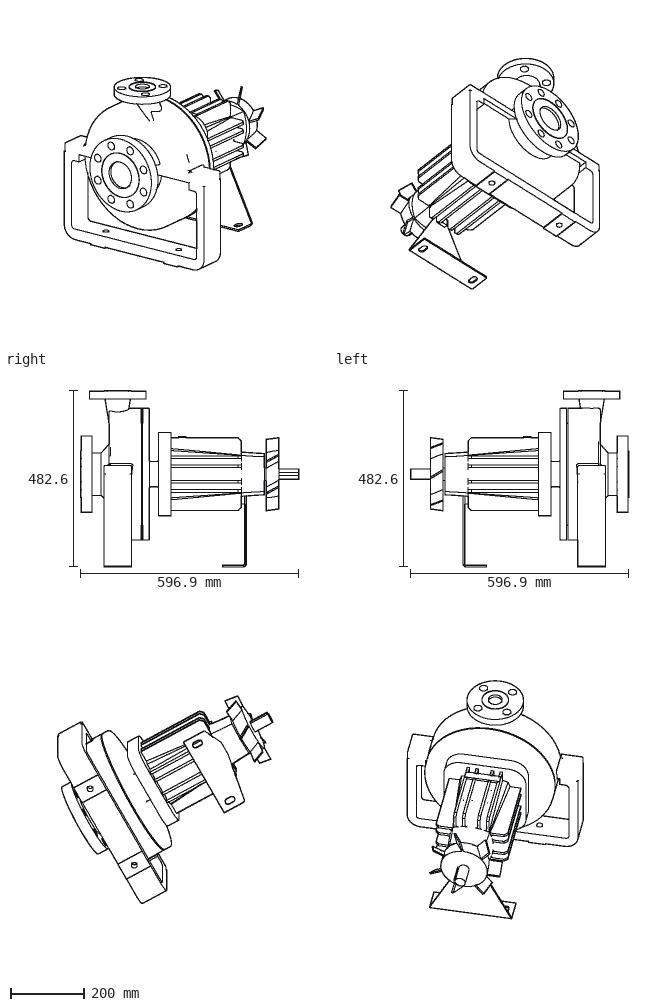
import cadquery as cq
import math

OVERLAP = 1.0

SUCTION_FACE_Y = -101.6
SHAFT_END_Y = 495.3
DISCHARGE_FACE_Z = 228.6
FOOT_Z = -254.0

CASING_DIA = 361.0
CASING_FRONT_Y = -23.8
CASING_BACK_Y = 65.0
CASING_EDGE_RADIUS = 4.5
COVER_FRONT_Y = 68.3
COVER_BACK_Y = 86.7
GASKET_DIA = 280.0

BOLT_HOLE_DIA = 22.23
RAISED_FACE_HEIGHT = 1.6
SUCTION_FLANGE_DIA = 209.55
SUCTION_FLANGE_BACK_Y = -69.8
SUCTION_RAISED_DIA = 127.0
SUCTION_BORE_DIA = 76.2
SUCTION_BOLT_CIRCLE = 168.3
SUCTION_BOLTS = 8
SUCTION_NECK_DIA = 117.0
SUCTION_CONE_FRONT_Y = -45.2
SUCTION_CONE_DIA = 165.0
BORE_DEPTH = 8.0

DISCHARGE_FLANGE_DIA = 155.0
DISCHARGE_FLANGE_BOTTOM_Z = 205.5
DISCHARGE_RAISED_DIA = 73.03
DISCHARGE_BORE_DIA = 38.1
DISCHARGE_BOLT_CIRCLE = 114.3
DISCHARGE_BOLTS = 4
NECK_TOP_DIA = 70.0
NECK_TOP_X = 4.3
NECK_END_DIA = 47.0
NECK_END_X = 56.5
NECK_END_Z = 135.6

FRAME_WIDTH = 476.25
FRAME_DEPTH = 76.2
FRAME_TOP_Z = 24.3
FRAME_BOTTOM_Z = -250.8
LEG_THICKNESS = 25.4
FRAME_FLOOR_Z = -219.7
FRAME_INNER_RADIUS = 9.5
FRAME_OUTER_RADIUS = 38.1
LUG_INNER_X = 187.0
LUG_BOTTOM_Z = -20.8
ARM_EDGE_RADIUS = 4.5
ARM_WELD_RADIUS = 5.0
FOOT_HOLE_X = 123.8
FOOT_HOLE_DIA = 16.0
FOOT_PAD_WIDTH = 48.4

ADAPTER_SIZE = 70.0
ADAPTER_EDGE_RADIUS = 6.0
ADAPTER_SEAM_RADIUS = 3.0
HOUSING_FLANGE_SIZE = 228.6
HOUSING_FLANGE_CORNER_RADIUS = 48.3
HOUSING_FLANGE_FRONT_Y = 111.0
HOUSING_FLANGE_BACK_Y = 146.0
HOUSING_END_Y = 401.5
HOUSING_STEP_Y = 376.0
HOUSING_END_WIDTH = 114.0
HOUSING_STEP_WIDTH = 116.5
HOUSING_FRONT_WIDTH = 155.0
HOUSING_CORNER_RATIO = 0.835

FIN_BACK_Y = 338.0
FIN_THICKNESS = 7.0
FIN_TIP = 100.0
FIN_CHAMFER = 9.0
FIN_OFFSETS = (21.2, 46.0)
FIN_ROOT = 40.0
FIN_ROOT_RADIUS = 5.0

PLATE_WIDTH = 98.0
PLATE_FRONT_Y = 166.5
PLATE_BACK_Y = 187.0
PLATE_BOTTOM_Z = 96.0
PLATE_TOP_Z = 102.5

BRACKET_THICKNESS = 5.0
BRACKET_BACK_Y = 352.0
BRACKET_FOOT_FRONT_Y = 287.0
BRACKET_HALF_WIDTH = 114.5
BRACKET_TOP_Z = -50.0
BRACKET_EDGE_SLOPE = 0.505
BRACKET_BEND_RADIUS = 4.5
BRACKET_PAD_BOTTOM_Z = -82.0
SLOT_X = 91.5
SLOT_Y = 318.0
SLOT_LENGTH = 28.0
SLOT_WIDTH = 16.0

SHAFT_DIA = 28.56
SHAFT_SHOULDER_DIA = 35.0
KEY_WIDTH = 8.0
KEY_TOP_X = 17.7
FAN_FRONT_Y = 406.0
FAN_BACK_Y = 441.0
FAN_HUB_DIA = 130.0
FAN_BLADES = 7
FAN_FIRST_ANGLE = 180.0
BLADE_TIP = 100.0
BLADE_ROOT = 40.0
BLADE_THICKNESS = 4.0
BLADE_TILT = 31.0


def disc(dia, y_start, y_end):
    """Round bar along Y between two Y levels."""
    return cq.Workplane("XZ", origin=(0, y_start, 0)).circle(dia / 2).extrude(y_start - y_end)


def upright_disc(dia, z_start, z_end):
    """Round bar along Z between two Z levels."""
    return cq.Workplane("XY").workplane(offset=z_start).circle(dia / 2).extrude(z_end - z_start)


def cone(dia_start, y_start, dia_end, y_end):
    """Solid cone frustum along Y."""
    outline = [(0, y_start), (dia_start / 2, y_start), (dia_end / 2, y_end), (0, y_end)]
    return cq.Workplane("XY").polyline(outline).close().revolve(360, (0, 0, 0), (0, 1, 0))


def block(x_range, y_range, z_range):
    """Box between pairs of limits."""
    sizes = [end - start for start, end in (x_range, y_range, z_range)]
    corner = (x_range[0], y_range[0], z_range[0])
    return cq.Workplane("XY").box(*sizes, centered=False).translate(corner)


def make_casing():
    volute = disc(CASING_DIA, CASING_FRONT_Y, CASING_BACK_Y).faces("<Y").edges().fillet(CASING_EDGE_RADIUS)
    gasket = disc(GASKET_DIA, CASING_BACK_Y - OVERLAP, COVER_FRONT_Y + OVERLAP)
    cover = disc(CASING_DIA, COVER_FRONT_Y, COVER_BACK_Y)
    return volute.union(gasket).union(join_adapter(cover))


def join_adapter(cover):
    """Adapter from the casing cover to the housing flange, rounded into both."""
    half_adapter = ADAPTER_SIZE / 2
    adapter = block(
        (-half_adapter, half_adapter),
        (COVER_BACK_Y - OVERLAP, HOUSING_FLANGE_FRONT_Y + OVERLAP),
        (-half_adapter, half_adapter),
    ).edges("|Y").fillet(ADAPTER_EDGE_RADIUS)

    half_flange = HOUSING_FLANGE_SIZE / 2
    flange = block(
        (-half_flange, half_flange),
        (HOUSING_FLANGE_FRONT_Y, HOUSING_FLANGE_BACK_Y),
        (-half_flange, half_flange),
    ).edges("|Y").fillet(HOUSING_FLANGE_CORNER_RADIUS)

    reach = half_adapter + OVERLAP
    seams = cq.selectors.BoxSelector(
        (-reach, COVER_BACK_Y - OVERLAP, -reach),
        (reach, HOUSING_FLANGE_FRONT_Y + OVERLAP, reach),
    )
    joined = cover.union(adapter).union(flange)
    return joined.edges(seams).edges("not |Y").fillet(ADAPTER_SEAM_RADIUS)


def make_frame():
    half_width = FRAME_WIDTH / 2
    leg_inner_x = half_width - LEG_THICKNESS
    outline = [
        (-half_width, FRAME_BOTTOM_Z),
        (half_width, FRAME_BOTTOM_Z),
        (half_width, 0),
        (LUG_INNER_X, 0),
        (LUG_INNER_X, LUG_BOTTOM_Z),
        (leg_inner_x, LUG_BOTTOM_Z),
        (leg_inner_x, FRAME_FLOOR_Z),
        (-leg_inner_x, FRAME_FLOOR_Z),
        (-leg_inner_x, LUG_BOTTOM_Z),
        (-LUG_INNER_X, LUG_BOTTOM_Z),
        (-LUG_INNER_X, 0),
        (-half_width, 0),
    ]
    legs = cq.Workplane("XZ").polyline(outline).close().extrude(FRAME_DEPTH / 2, both=True)
    legs = legs.edges("|Y").edges("<Z").fillet(FRAME_OUTER_RADIUS)
    for z_level in (FRAME_FLOOR_Z, LUG_BOTTOM_Z):
        corners = cq.selectors.BoxSelector(
            (-leg_inner_x - OVERLAP, -FRAME_DEPTH, z_level - OVERLAP),
            (leg_inner_x + OVERLAP, FRAME_DEPTH, z_level + OVERLAP),
        )
        leg_corners = legs.edges("|Y").edges(corners).filter(
            lambda edge: abs(edge.Center().x) > LUG_INNER_X + OVERLAP
        )
        legs = leg_corners.fillet(FRAME_INNER_RADIUS)

    half_depth = FRAME_DEPTH / 2
    arm = block((-half_width, half_width), (-half_depth, half_depth), (0, FRAME_TOP_Z))
    arm = arm.edges("|Z or >Z").fillet(ARM_EDGE_RADIUS)
    frame = legs.union(arm)

    half_pad = FOOT_PAD_WIDTH / 2
    pad = block((-half_pad, half_pad), (-half_depth, half_depth), (FOOT_Z, FRAME_BOTTOM_Z + OVERLAP))
    hole = upright_disc(FOOT_HOLE_DIA, FOOT_Z, FRAME_FLOOR_Z)
    for side in (-1, 1):
        frame = frame.union(pad.translate((side * FOOT_HOLE_X, 0, 0)))
        frame = frame.cut(hole.translate((side * FOOT_HOLE_X, 0, 0)))
    return frame


def weld_section(plane):
    """Hollow corner fillet section filling the first quadrant corner of the plane."""
    radius = ARM_WELD_RADIUS
    bulge = radius * (1 - math.sqrt(0.5))
    return (
        cq.Workplane(plane)
        .moveTo(-OVERLAP, -OVERLAP)
        .lineTo(radius, -OVERLAP)
        .lineTo(radius, 0)
        .threePointArc((bulge, bulge), (0, radius))
        .lineTo(-OVERLAP, radius)
        .close()
    )


def make_arm_welds():
    """Hollow fillets where the frame arms meet the rim and the front face of the casing."""
    rim_x = math.sqrt((CASING_DIA / 2) ** 2 - FRAME_TOP_Z ** 2)
    back_y = FRAME_DEPTH / 2
    corner = ARM_EDGE_RADIUS
    bulge = corner * (1 - math.sqrt(0.5))
    path = (
        cq.Workplane("YZ", origin=(rim_x, 0, 0))
        .moveTo(back_y, 0)
        .lineTo(back_y, FRAME_TOP_Z - corner)
        .threePointArc((back_y - bulge, FRAME_TOP_Z - bulge), (back_y - corner, FRAME_TOP_Z))
        .lineTo(CASING_FRONT_Y + CASING_EDGE_RADIUS, FRAME_TOP_Z)
    )
    rim_weld = weld_section(cq.Plane.XY((rim_x, back_y, 0))).sweep(path)

    front_plane = cq.Plane(origin=(-rim_x, CASING_FRONT_Y, FRAME_TOP_Z), xDir=(0, -1, 0), normal=(-1, 0, 0))
    front_weld = weld_section(front_plane).extrude(-2 * rim_x)
    return front_weld.union(rim_weld).union(rim_weld.mirror("YZ"))


def make_suction():
    cone_part = cone(SUCTION_CONE_DIA, CASING_FRONT_Y, SUCTION_NECK_DIA, SUCTION_CONE_FRONT_Y)
    neck = disc(SUCTION_NECK_DIA, SUCTION_FLANGE_BACK_Y, SUCTION_CONE_FRONT_Y)
    flange_front_y = SUCTION_FACE_Y + RAISED_FACE_HEIGHT
    flange = disc(SUCTION_FLANGE_DIA, flange_front_y, SUCTION_FLANGE_BACK_Y)
    raised = disc(SUCTION_RAISED_DIA, SUCTION_FACE_Y, flange_front_y)
    root = disc(SUCTION_CONE_DIA, CASING_FRONT_Y, CASING_FRONT_Y + OVERLAP)
    return flange.union(raised).union(neck).union(cone_part).union(root)


def cut_suction_holes(body):
    half_step = 180 / SUCTION_BOLTS
    holes = (
        cq.Workplane("XZ", origin=(0, SUCTION_FACE_Y, 0))
        .polarArray(SUCTION_BOLT_CIRCLE / 2, half_step, 360, SUCTION_BOLTS)
        .circle(BOLT_HOLE_DIA / 2)
        .extrude(SUCTION_FACE_Y - SUCTION_FLANGE_BACK_Y)
    )
    bore = disc(SUCTION_BORE_DIA, SUCTION_FACE_Y, SUCTION_FACE_Y + BORE_DEPTH)
    return body.cut(holes).cut(bore)


def make_discharge():
    flange_top_z = DISCHARGE_FACE_Z - RAISED_FACE_HEIGHT
    flange = upright_disc(DISCHARGE_FLANGE_DIA, DISCHARGE_FLANGE_BOTTOM_Z, flange_top_z)
    raised = upright_disc(DISCHARGE_RAISED_DIA, flange_top_z, DISCHARGE_FACE_Z)
    neck = (
        cq.Workplane("XY", origin=(NECK_END_X, 0, NECK_END_Z))
        .circle(NECK_END_DIA / 2)
        .workplane(offset=DISCHARGE_FLANGE_BOTTOM_Z - NECK_END_Z)
        .center(NECK_TOP_X - NECK_END_X, 0)
        .circle(NECK_TOP_DIA / 2)
        .loft()
    )
    return flange.union(raised).union(neck)


def cut_discharge_holes(body):
    half_step = 180 / DISCHARGE_BOLTS
    holes = (
        cq.Workplane("XY", origin=(0, 0, DISCHARGE_FLANGE_BOTTOM_Z))
        .polarArray(DISCHARGE_BOLT_CIRCLE / 2, half_step, 360, DISCHARGE_BOLTS)
        .circle(BOLT_HOLE_DIA / 2)
        .extrude(DISCHARGE_FACE_Z - DISCHARGE_FLANGE_BOTTOM_Z)
    )
    bore = upright_disc(DISCHARGE_BORE_DIA, DISCHARGE_FACE_Z - BORE_DEPTH, DISCHARGE_FACE_Z)
    return body.cut(holes).cut(bore)


def housing_section(y_level, width):
    """Square section with four bulging sides that meet at sharp corners."""
    middle = width / 2
    corner = HOUSING_CORNER_RATIO * middle
    return (
        cq.Workplane("XZ", origin=(0, y_level, 0))
        .moveTo(corner, -corner)
        .threePointArc((middle, 0), (corner, corner))
        .threePointArc((0, middle), (-corner, corner))
        .threePointArc((-middle, 0), (-corner, -corner))
        .threePointArc((0, -middle), (corner, -corner))
        .close()
    )


def housing_taper(y_start, width_start, y_end, width_end):
    """Straight taper between two housing sections."""
    wires = [housing_section(y_start, width_start).val(), housing_section(y_end, width_end).val()]
    return cq.Workplane(obj=cq.Solid.makeLoft(wires, True))


def make_housing():
    """Finned bearing housing: two tapers and two crossed sets of fins."""
    front_y = HOUSING_FLANGE_BACK_Y - OVERLAP
    barrel = housing_taper(front_y, HOUSING_FRONT_WIDTH, HOUSING_STEP_Y, HOUSING_STEP_WIDTH)
    end = housing_taper(HOUSING_STEP_Y, HOUSING_STEP_WIDTH, HOUSING_END_Y, HOUSING_END_WIDTH)

    fin = block((-FIN_THICKNESS / 2, FIN_THICKNESS / 2), (front_y, FIN_BACK_Y), (FIN_ROOT, FIN_TIP))
    fin = fin.edges("|X and >Y and >Z").chamfer(FIN_CHAMFER)
    for quarter in range(4):
        for offset in FIN_OFFSETS:
            for side in (-1, 1):
                placed = fin.translate((side * offset, 0, 0))
                barrel = barrel.union(placed.rotate((0, 0, 0), (0, 1, 0), quarter * 90))
    return round_fin_roots(barrel).union(end)


def round_fin_roots(barrel):
    """Round the long seams between the fins and the barrel sides, inside the outermost fins."""
    outer_wall = FIN_OFFSETS[-1] - FIN_THICKNESS / 2
    inner_wall = FIN_OFFSETS[0] - FIN_THICKNESS / 2

    def is_root(edge):
        center = edge.Center()
        near, far = sorted((abs(center.x), abs(center.z)))
        is_long = edge.BoundingBox().ylen > FIN_BACK_Y / 2
        return is_long and inner_wall - OVERLAP < near < outer_wall + OVERLAP and far < HOUSING_FRONT_WIDTH / 2

    return barrel.edges().filter(is_root).fillet(FIN_ROOT_RADIUS)


def make_name_plate():
    half_width = PLATE_WIDTH / 2
    return block((-half_width, half_width), (PLATE_FRONT_Y, PLATE_BACK_Y), (PLATE_BOTTOM_Z, PLATE_TOP_Z))


def make_bracket():
    foot_top_z = FOOT_Z + BRACKET_THICKNESS
    top_half_width = BRACKET_HALF_WIDTH - BRACKET_EDGE_SLOPE * (BRACKET_TOP_Z - foot_top_z)
    profile = [
        (BRACKET_BACK_Y, FOOT_Z),
        (BRACKET_BACK_Y, BRACKET_TOP_Z),
        (BRACKET_BACK_Y - BRACKET_THICKNESS, BRACKET_TOP_Z),
        (BRACKET_BACK_Y - BRACKET_THICKNESS, foot_top_z),
        (BRACKET_FOOT_FRONT_Y, foot_top_z),
        (BRACKET_FOOT_FRONT_Y, FOOT_Z),
    ]
    angle = cq.Workplane("YZ").polyline(profile).close().extrude(BRACKET_HALF_WIDTH, both=True)
    angle = angle.edges("|X and >Y and <Z").fillet(BRACKET_BEND_RADIUS + BRACKET_THICKNESS)
    inner_bend_y = BRACKET_BACK_Y - BRACKET_THICKNESS
    inner_bend = cq.selectors.NearestToPointSelector((0, inner_bend_y, foot_top_z))
    angle = angle.edges("|X").edges(inner_bend).fillet(BRACKET_BEND_RADIUS)
    outline = [
        (-BRACKET_HALF_WIDTH, FOOT_Z),
        (BRACKET_HALF_WIDTH, FOOT_Z),
        (BRACKET_HALF_WIDTH, foot_top_z),
        (top_half_width, BRACKET_TOP_Z),
        (-top_half_width, BRACKET_TOP_Z),
        (-BRACKET_HALF_WIDTH, foot_top_z),
    ]
    trim = cq.Workplane("XZ", origin=(0, BRACKET_BACK_Y, 0)).polyline(outline).close()
    bracket = angle.intersect(trim.extrude(BRACKET_BACK_Y - BRACKET_FOOT_FRONT_Y))

    slots = (
        cq.Workplane("XY", origin=(0, SLOT_Y, FOOT_Z))
        .pushPoints([(-SLOT_X, 0), (SLOT_X, 0)])
        .slot2D(SLOT_LENGTH, SLOT_WIDTH, 90)
        .extrude(BRACKET_THICKNESS)
    )
    pad = block(
        (-top_half_width, top_half_width),
        (FIN_BACK_Y - OVERLAP, BRACKET_BACK_Y - BRACKET_THICKNESS),
        (BRACKET_PAD_BOTTOM_Z, BRACKET_TOP_Z),
    )
    return bracket.cut(slots).union(pad)


def make_shaft():
    shaft = disc(SHAFT_DIA, FAN_BACK_Y - OVERLAP, SHAFT_END_Y)
    shoulder = disc(SHAFT_SHOULDER_DIA, HOUSING_END_Y - OVERLAP, FAN_FRONT_Y + OVERLAP)
    key = block((0, KEY_TOP_X), (FAN_BACK_Y - OVERLAP, SHAFT_END_Y), (-KEY_WIDTH / 2, KEY_WIDTH / 2))
    return shaft.union(shoulder).union(key)


def make_fan():
    width = FAN_BACK_Y - FAN_FRONT_Y
    middle_y = (FAN_FRONT_Y + FAN_BACK_Y) / 2
    limits = block((0, BLADE_TIP), (-width / 2, width / 2), (-width, width))
    blade = block((BLADE_ROOT, BLADE_TIP), (-width, width), (-BLADE_THICKNESS / 2, BLADE_THICKNESS / 2))
    blade = blade.rotate((0, 0, 0), (1, 0, 0), BLADE_TILT).intersect(limits).translate((0, middle_y, 0))
    fan = disc(FAN_HUB_DIA, FAN_FRONT_Y, FAN_BACK_Y)
    for index in range(FAN_BLADES):
        angle = FAN_FIRST_ANGLE + index * 360 / FAN_BLADES
        fan = fan.union(blade.rotate((0, 0, 0), (0, 1, 0), -angle))
    return fan


wet_end = make_casing().union(make_frame()).union(make_arm_welds())
wet_end = wet_end.union(make_suction()).union(make_discharge())
wet_end = cut_discharge_holes(cut_suction_holes(wet_end))

drive_end = make_housing().union(make_name_plate()).union(make_bracket())
drive_end = drive_end.union(make_shaft()).union(make_fan())

result = wet_end.union(drive_end)